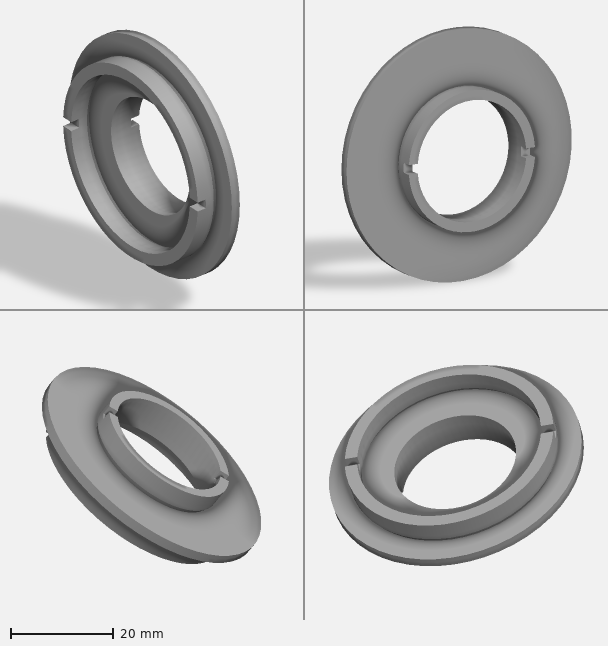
import cadquery as cq

flange_diameter = 50.8
flange_thickness = 2.0

front_collar_diameter = 42.0
front_relief_diameter = 41.0
rear_collar_diameter = 28.5
rear_relief_diameter = 27.5
collar_length = 4.0
relief_width = 1.0

bore_diameter = 24.5
recess_diameter = 37.0
undercut_diameter = 38.2

slot_width = 2.0
slot_depth = 2.0

front_face = 0.0
front_collar_end = front_face + collar_length
flange_front = front_collar_end + relief_width
flange_rear = flange_front + flange_thickness
rear_collar_start = flange_rear + relief_width
rear_face = rear_collar_start + collar_length


def disc(diameter, y_start, y_end):
    """Solid cylinder along Y between two stations."""
    plane = cq.Workplane("XZ", origin=(0, y_start, 0))
    return plane.circle(diameter / 2).extrude(y_start - y_end)


def turned_body():
    """Flange with a collar on each side, each set off by a narrow relief groove."""
    body = disc(flange_diameter, flange_front, flange_rear)
    body = body.union(disc(front_collar_diameter, front_face, front_collar_end))
    body = body.union(disc(front_relief_diameter, front_collar_end, flange_front))
    body = body.union(disc(rear_relief_diameter, flange_rear, rear_collar_start))
    return body.union(disc(rear_collar_diameter, rear_collar_start, rear_face))


def stepped_bore():
    """Through bore plus the front recess, undercut where it meets the flange."""
    bore = disc(bore_diameter, front_face, rear_face)
    recess = disc(recess_diameter, front_face, front_collar_end)
    undercut = disc(undercut_diameter, front_collar_end, flange_front)
    return bore.union(recess).union(undercut)


def spanner_slots(y_start):
    """Bar along X that cuts a pair of opposed spanner slots in a collar."""
    bar = cq.Workplane("XY", origin=(0, y_start, 0))
    return bar.box(flange_diameter, slot_depth, slot_width, centered=(True, False, True))


result = turned_body().cut(stepped_bore())
for slot_start in (front_face, rear_face - slot_depth):
    result = result.cut(spanner_slots(slot_start))